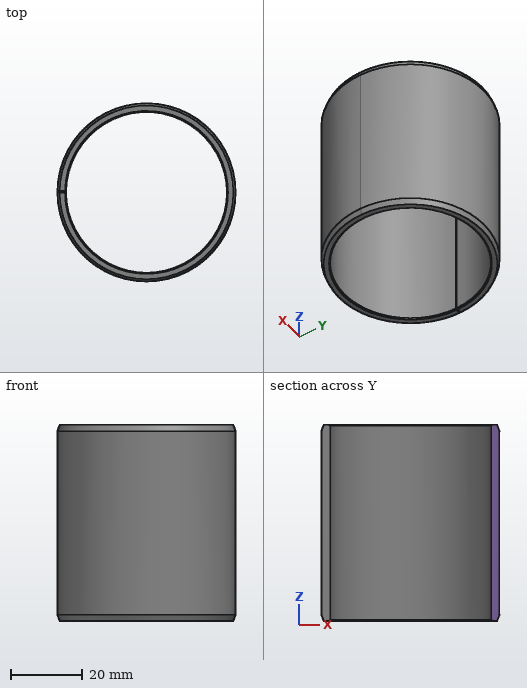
import cadquery as cq

length = 55.0
outer_diameter = 50.0
wall = 2.5
outer_chamfer_height = 1.75
outer_chamfer_depth = 0.65
inner_chamfer = 0.35
slit_width = 0.4

outer_radius = outer_diameter / 2
inner_radius = outer_radius - wall


def wall_ring():
    """Revolve the wall section, chamfered at both ends inside and outside."""
    rim_outer = outer_radius - outer_chamfer_depth
    rim_inner = inner_radius + inner_chamfer
    section = [
        (rim_inner, 0),
        (rim_outer, 0),
        (outer_radius, outer_chamfer_height),
        (outer_radius, length - outer_chamfer_height),
        (rim_outer, length),
        (rim_inner, length),
        (inner_radius, length - inner_chamfer),
        (inner_radius, inner_chamfer),
    ]
    return cq.Workplane("XZ").polyline(section).close().revolve(360, (0, 0), (0, 1))


def slit():
    """Full-length butt joint through the wall on the -X side, with one face on the XZ plane."""
    return cq.Workplane("XY").box(
        outer_radius, slit_width, length, centered=False
    ).translate((-outer_radius, 0, 0))


result = wall_ring().cut(slit())